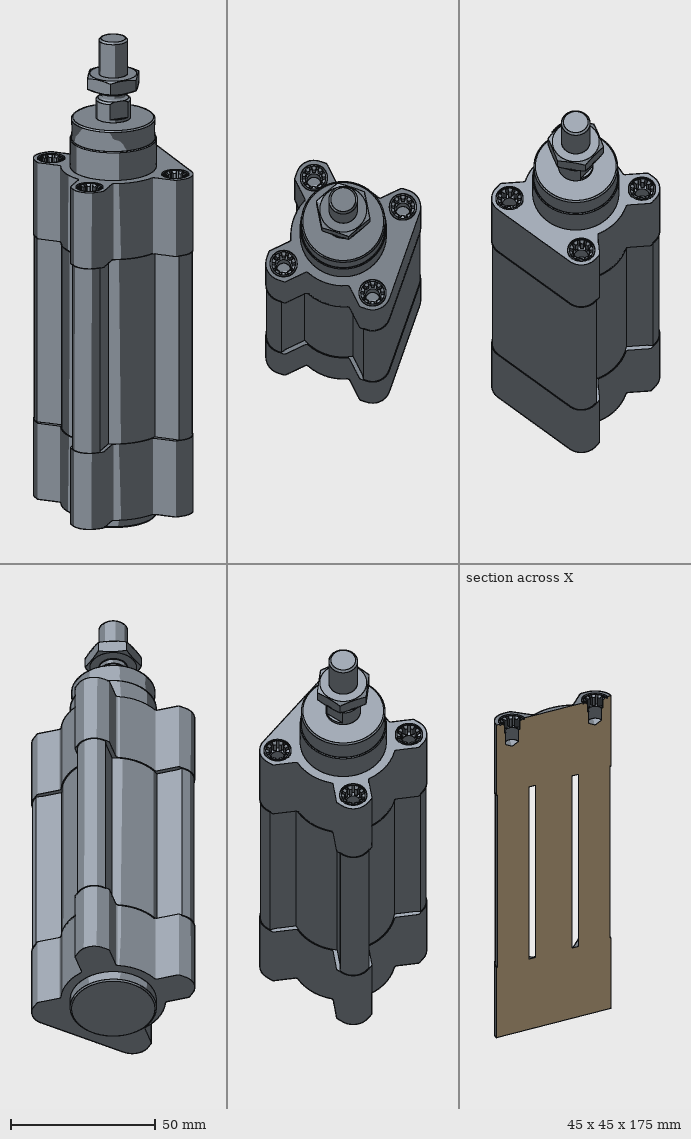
import cadquery as cq
import math


spigot_height = 4.0
cover_height = 28.0
barrel_height = 68.0
collar_height = 10.5
cap_height = 7.5
rod_length_outside = 29.0

barrel_z = spigot_height + cover_height
head_z = barrel_z + barrel_height
collar_z = head_z + cover_height
cap_z = collar_z + collar_height
housing_top_z = cap_z + cap_height
rod_top_z = housing_top_z + rod_length_outside

cover_width = 45.0
screw_offset = 16.3
cover_core_radius = 18.2
cover_edge_fillet = 0.9
cover_corner_radius = cover_width / 2 - screw_offset

barrel_width = 44.5
barrel_core_radius = 17.9
barrel_arm_half_width = 4.7
barrel_tip_half_width = 5.0
tip_flare_start = 24.5
tip_flare_end = 26.3
barrel_corner_radius = barrel_width / 2 - screw_offset

collar_diameter = 30.0
collar_chamfer = 0.4
cap_diameter = 29.0
cap_waist_depth = 0.2
cap_chamfer = 0.5

recess_diameter = 9.5
recess_depth = 0.7
crest_diameter = 8.2
crest_depth = 0.2
spline_root_diameter = 8.0
spline_tip_diameter = 6.0
spline_tip_depth = 0.9
spline_count = 10
groove_width = 0.9
socket_depth = 4.0
drill_diameter = 4.9
drill_depth = 8.8
drill_tip_height = 1.2

rod_diameter = 12.0
flat_width = 10.0
flat_start_height = 1.0
flat_end_height = 7.4
rod_chamfer = 0.7
neck_diameter = 8.2
neck_height = 2.0
neck_fillet = 0.7
thread_diameter = 10.0
thread_end_diameter = 9.1
thread_taper_height = 1.4
thread_chamfer = 0.7

nut_width = 17.0
nut_height = 5.0
nut_height_above_cap = 11.0
nut_chamfer_angle = 20.0
nut_face_diameter = 16.3


def cylinder(diameter, bottom_z, height):
    return cq.Workplane("XY").workplane(offset=bottom_z).circle(diameter / 2).extrude(height)


def diagonal_arms(half_width, tip_half_width, bottom_z, height):
    """Cross of four arms along the diagonals, reaching past the corners."""
    reach = cover_width
    side = [(-tip_flare_end, tip_half_width), (-tip_flare_start, half_width),
            (tip_flare_start, half_width), (tip_flare_end, tip_half_width)]
    upper = [(-reach, tip_half_width), *side, (reach, tip_half_width)]
    lower = [(x, -y) for x, y in reversed(upper)]
    bar = cq.Workplane("XY").workplane(offset=bottom_z).polyline(upper + lower).close().extrude(height)
    rising = bar.rotate((0, 0, 0), (0, 0, 1), 45)
    falling = bar.rotate((0, 0, 0), (0, 0, 1), -45)
    return rising.union(falling)


def profile_block(width, corner_radius, core_radius, arm_half_width, tip_half_width, bottom_z, height):
    """Round core with four diagonal arms and a flat +Y side, inside a rounded square."""
    block = cylinder(2 * core_radius, bottom_z, height)
    block = block.union(diagonal_arms(arm_half_width, tip_half_width, bottom_z, height))

    flat_half_width = width / 2 - tip_half_width * math.sqrt(2)
    back = (cq.Workplane("XY").workplane(offset=bottom_z).center(0, width / 4)
            .rect(2 * flat_half_width, width / 2).extrude(height))
    envelope = (cq.Workplane("XY").workplane(offset=bottom_z).rect(width, width)
                .extrude(height).edges("|Z").fillet(corner_radius))
    return block.union(back).intersect(envelope)


def make_cover(bottom_z):
    """End cover whose arms are as wide as their rounded corners."""
    cover = profile_block(cover_width, cover_corner_radius, cover_core_radius,
                          cover_corner_radius, cover_corner_radius, bottom_z, cover_height)
    arm_root = math.sqrt(cover_core_radius ** 2 - cover_corner_radius ** 2)
    root_near = (arm_root - cover_corner_radius) / math.sqrt(2)
    root_far = (arm_root + cover_corner_radius) / math.sqrt(2)
    end_far = cover_width / 2
    end_near = end_far - cover_corner_radius * math.sqrt(2)
    middle_z = bottom_z + cover_height / 2
    for near, far in [(root_near, root_far), (end_near, end_far)]:
        for side in (-1, 1):
            for x, y in [(side * near, -far), (side * far, near), (side * far, -near)]:
                edge = cq.selectors.NearestToPointSelector((x, y, middle_z))
                cover = cover.edges("|Z").edges(edge).fillet(cover_edge_fillet)
    return cover


def make_screw_socket():
    """Cutter for one screw: ring recess, coned crest, splined socket and drilled core.

    Its mouth is centred on the origin and faces up.
    """
    recess_radius = recess_diameter / 2
    tip_radius = spline_tip_diameter / 2
    drill_radius = drill_diameter / 2
    cutter = (cq.Workplane("XZ")
              .polyline([(0, 0), (recess_radius, 0), (recess_radius, -recess_depth),
                         (crest_diameter / 2, -crest_depth), (tip_radius, -spline_tip_depth),
                         (tip_radius, -socket_depth), (drill_radius, -socket_depth),
                         (drill_radius, -drill_depth), (0, -drill_depth - drill_tip_height)])
              .close().revolve(360, (0, 0, 0), (0, 1, 0)))
    groove_length = spline_root_diameter / 2 - drill_radius
    grooves = (cq.Workplane("XY")
               .polarArray(drill_radius + groove_length / 2, 0, 360, spline_count)
               .rect(groove_length, groove_width).extrude(-socket_depth))
    return cutter.union(grooves)


def make_cap():
    """Cap with a slightly waisted outside and a chamfered top edge."""
    radius = cap_diameter / 2
    chamfer_z = housing_top_z - cap_chamfer
    waist_z = (cap_z + chamfer_z) / 2
    return (cq.Workplane("XZ").moveTo(0, cap_z).lineTo(radius, cap_z)
            .threePointArc((radius - cap_waist_depth, waist_z), (radius, chamfer_z))
            .lineTo(radius - cap_chamfer, housing_top_z).lineTo(0, housing_top_z)
            .close().revolve(360, (0, 0, 0), (0, 1, 0)))


def make_housing():
    spigot = cylinder(collar_diameter, 0, spigot_height).faces("<Z").chamfer(cap_chamfer)
    barrel = profile_block(barrel_width, barrel_corner_radius, barrel_core_radius,
                           barrel_arm_half_width, barrel_tip_half_width, barrel_z, barrel_height)
    collar = cylinder(collar_diameter, collar_z, collar_height).faces(">Z").chamfer(collar_chamfer)
    housing = make_cover(spigot_height)
    for section in (spigot, barrel, make_cover(head_z), collar, make_cap()):
        housing = housing.union(section)

    socket = make_screw_socket()
    for x in (-screw_offset, screw_offset):
        for y in (-screw_offset, screw_offset):
            housing = housing.cut(socket.translate((x, y, collar_z)))

    rod_bore = cylinder(rod_diameter, head_z, housing_top_z - head_z)
    return housing.cut(rod_bore)


def make_rod():
    shank_top_z = housing_top_z + flat_end_height
    neck_top_z = shank_top_z + neck_height
    taper_top_z = neck_top_z + thread_taper_height
    thread_radius = thread_diameter / 2
    rod = (cq.Workplane("XZ")
           .polyline([(0, head_z), (rod_diameter / 2, head_z),
                      (rod_diameter / 2, shank_top_z - rod_chamfer),
                      (rod_diameter / 2 - rod_chamfer, shank_top_z),
                      (neck_diameter / 2, shank_top_z), (neck_diameter / 2, neck_top_z),
                      (thread_end_diameter / 2, neck_top_z), (thread_radius, taper_top_z),
                      (thread_radius, rod_top_z - thread_chamfer),
                      (thread_radius - thread_chamfer, rod_top_z), (0, rod_top_z)])
           .close().revolve(360, (0, 0, 0), (0, 1, 0)))

    neck_edges = rod.edges(cq.selectors.RadiusNthSelector(0))
    rod = neck_edges.edges("<Z").fillet(neck_fillet)

    flat_height = flat_end_height - flat_start_height
    flats = (cq.Workplane("XY").workplane(offset=housing_top_z + flat_start_height)
             .pushPoints([(-flat_width, 0), (flat_width, 0)])
             .rect(flat_width, rod_diameter).extrude(flat_height))
    return rod.cut(flats)


def make_nut():
    """Hexagon nut with two flats facing -X and +X and both faces chamfered."""
    corner_diameter = nut_width / math.cos(math.pi / 6)
    bottom_z = housing_top_z + nut_height_above_cap
    top_z = bottom_z + nut_height
    nut = (cq.Workplane("XY").workplane(offset=bottom_z).polygon(6, corner_diameter)
           .extrude(nut_height).rotate((0, 0, 0), (0, 0, 1), 30))

    face_radius = nut_face_diameter / 2
    rim_radius = corner_diameter / 2
    drop = (rim_radius - face_radius) * math.tan(math.radians(nut_chamfer_angle))
    envelope = (cq.Workplane("XZ")
                .polyline([(0, bottom_z), (face_radius, bottom_z), (rim_radius, bottom_z + drop),
                           (rim_radius, top_z - drop), (face_radius, top_z), (0, top_z)])
                .close().revolve(360, (0, 0, 0), (0, 1, 0)))
    return nut.intersect(envelope).cut(cylinder(thread_diameter, bottom_z, nut_height))


housing = make_housing()
rod = make_rod()
nut = make_nut()

result = cq.Compound.makeCompound([housing.val(), rod.val(), nut.val()])